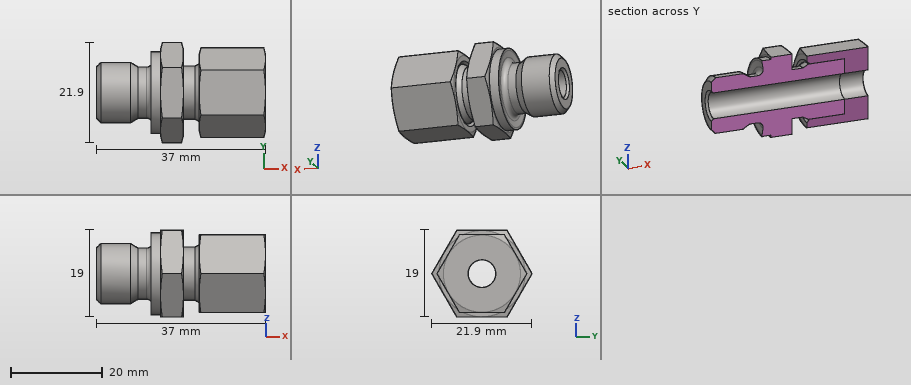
import cadquery as cq
import math


overall_length = 37.0
bore_radius = 3.0
hex_chamfer_angle = 15.0

stud_radius = 6.62
stud_tip_radius = 5.62
stud_tip_length = 1.0
bore_mouth_radius = 3.5
stud_taper_start = 7.47
relief_start = 9.15
relief_radius = 5.62

collar_start = 11.95
collar_radius = 9.0
sealing_edge_radius = 8.5
undercut_angle = 8.5
root_fillet_radius = 1.2

body_hex_start = 14.02
body_hex_end = 19.05
body_hex_flats = 19.0
body_hex_face_radius = 9.45

neck_radius = 5.85
neck_end = 21.6
shank_cone_angle = 30.0
shank_radius = 6.6
shank_end = 31.45

nut_start = 22.5
nut_flats = 17.02
nut_face_radius = 8.45
nut_mouth_radius = 7.2

undercut_slope = math.radians(undercut_angle)
undercut_root_radius = relief_radius + root_fillet_radius * (1 + math.sin(undercut_slope))
undercut_root_x = collar_start + (sealing_edge_radius - undercut_root_radius) * math.tan(undercut_slope)
root_fillet_start = undercut_root_x - root_fillet_radius * math.cos(undercut_slope)

shank_cone_end = neck_end + (shank_radius - neck_radius) / math.tan(math.radians(shank_cone_angle))


def revolve_about_x(profile):
    return profile.close().revolve(360, (0, 0, 0), (1, 0, 0))


def cylinder(start, end, radius):
    return cq.Workplane("YZ", origin=(start, 0, 0)).circle(radius).extrude(end - start)


def countersink(start, mouth_radius, hole_radius):
    """Cutter for a 45 degree countersink that narrows from the mouth to the hole along +X."""
    end = start + mouth_radius - hole_radius
    return revolve_about_x(
        cq.Workplane("XY")
        .moveTo(start, 0)
        .lineTo(start, mouth_radius)
        .lineTo(end, hole_radius)
        .lineTo(end, 0)
    )


def chamfered_hexagon(start, end, flats, face_radius):
    """Hexagonal prism with flats facing +Z and -Z, its corners turned down by a cone at both ends."""
    corner_radius = flats / math.sqrt(3)
    chamfer_length = (corner_radius - face_radius) * math.tan(math.radians(hex_chamfer_angle))
    prism = cq.Workplane("YZ", origin=(start, 0, 0)).polygon(6, 2 * corner_radius).extrude(end - start)
    envelope = revolve_about_x(
        cq.Workplane("XY")
        .moveTo(start, 0)
        .lineTo(start, face_radius)
        .lineTo(start + chamfer_length, corner_radius)
        .lineTo(end - chamfer_length, corner_radius)
        .lineTo(end, face_radius)
        .lineTo(end, 0)
    )
    return prism.intersect(envelope)


def make_body():
    """Stud, sealing collar, hexagon and nut-side shank in one piece, bored through."""
    stud_and_collar = revolve_about_x(
        cq.Workplane("XY")
        .moveTo(0, 0)
        .lineTo(0, stud_tip_radius)
        .lineTo(stud_tip_length, stud_radius)
        .lineTo(stud_taper_start, stud_radius)
        .lineTo(relief_start, relief_radius)
        .lineTo(root_fillet_start, relief_radius)
        .tangentArcPoint((undercut_root_x, undercut_root_radius), relative=False)
        .lineTo(collar_start, sealing_edge_radius)
        .lineTo(collar_start, collar_radius)
        .lineTo(body_hex_start, collar_radius)
        .lineTo(body_hex_start, 0)
    )
    hexagon = chamfered_hexagon(body_hex_start, body_hex_end, body_hex_flats, body_hex_face_radius)
    shank = revolve_about_x(
        cq.Workplane("XY")
        .moveTo(body_hex_end, 0)
        .lineTo(body_hex_end, neck_radius)
        .lineTo(neck_end, neck_radius)
        .lineTo(shank_cone_end, shank_radius)
        .lineTo(shank_end, shank_radius)
        .lineTo(shank_end, 0)
    )
    bore = cylinder(0, shank_end, bore_radius)
    bore_mouth = countersink(0, bore_mouth_radius, bore_radius)
    return stud_and_collar.union(hexagon).union(shank).cut(bore).cut(bore_mouth)


def make_nut():
    """Union nut that sits over the shank, with its rear wall against the shank end."""
    hexagon = chamfered_hexagon(nut_start, overall_length, nut_flats, nut_face_radius)
    shank_recess = cylinder(nut_start, shank_end, shank_radius)
    mouth = countersink(nut_start, nut_mouth_radius, shank_radius)
    tube_hole = cylinder(shank_end, overall_length, bore_radius)
    return hexagon.cut(shank_recess).cut(mouth).cut(tube_hole)


body = make_body()
nut = make_nut()
result = cq.Compound.makeCompound([body.val(), nut.val()])